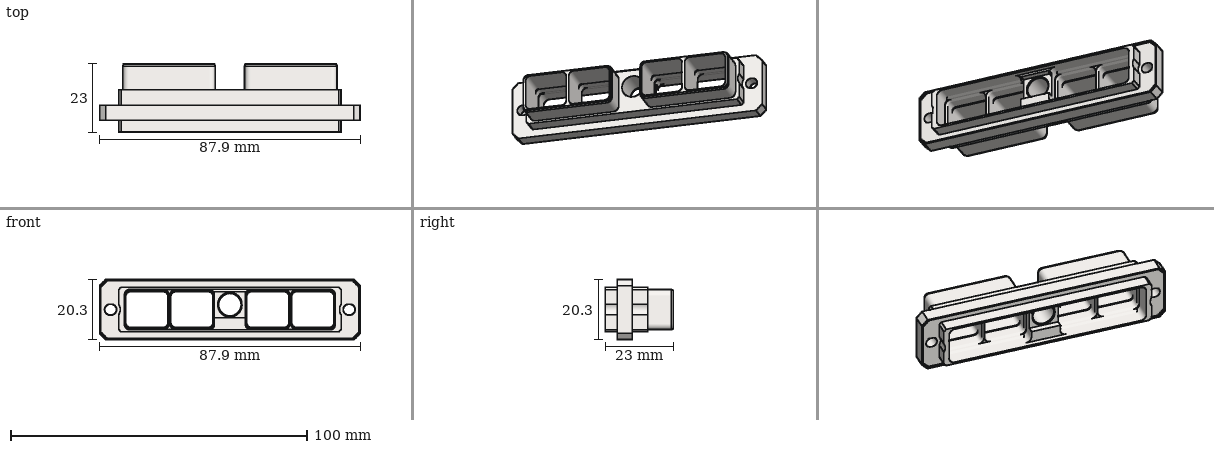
import cadquery as cq

FLANGE_LENGTH = 87.93
FLANGE_HEIGHT = 20.33
FLANGE_FRONT = 4.0
FLANGE_THICKNESS = 5.15
FLANGE_CORNER = 2.1
RIM_WIDTH = 0.45
RIM_DEPTH = 0.5

MOUNT_X = 40.25
MOUNT_LENGTH = 3.95
MOUNT_HEIGHT = 3.6
RELIEF_RADIUS = 3.25

SOCKET_LENGTH = 75.0
SOCKET_HEIGHT = 15.1
SOCKET_DEPTH = 14.4
SOCKET_CORNER = 0.8

TOTAL_DEPTH = 23.03
BLOCK_LENGTH = 31.3
BLOCK_HEIGHT = 13.6
BLOCK_CENTER = 20.55
BLOCK_RADIUS = 2.0
BLOCK_EDGE_DEPTH = 0.8
BLOCK_EDGE_INSET = 0.3

CAVITY_HEIGHT = 13.7
CAVITY_RADIUS = 2.0
CAVITY_DEPTH = 1.75
POCKET_INNER = 5.2
POCKET_OUTER = 35.6
POCKET_SLOPE_START = 4.7
POCKET_SLOPE_END = 5.9
POCKET_SLOPE_RISE = 0.22

WINDOW_MOUTH = 6.6
WINDOW_FLARE_END = 7.8
WINDOW_STEP = 11.4
WINDOW_LENGTH = 14.2
WINDOW_HEIGHT = 12.0
WINDOW_STEP_HEIGHT = 0.38
WINDOW_RADIUS = 1.5
DIVIDER = 1.0
WINDOW_FLARE = 0.4

CENTER_WALL_FRONT = 3.9
RECESS_BOTTOM = -2.7
RECESS_TOP = 6.0
HOLE_Z = 1.65
HOLE_DIAMETER = 7.6
HOLE_CHAMFER = 0.3

POCKET_CENTER = (POCKET_INNER + POCKET_OUTER) / 2
POCKET_LENGTH = POCKET_OUTER - POCKET_INNER
POCKET_REAR_HEIGHT = CAVITY_HEIGHT - 2 * POCKET_SLOPE_RISE
WINDOW_PITCH = WINDOW_LENGTH + DIVIDER


def section(y):
    """Sketch plane at depth y whose normal points to the rear; local x = -X, local y = Z."""
    return cq.Workplane(cq.Plane(origin=(0, y, 0), xDir=(-1, 0, 0), normal=(0, 1, 0)))


def block(length, height, y_front, y_rear, x=0):
    """Plain box centred on Z = 0."""
    return section(y_front).center(-x, 0).rect(length, height).extrude(y_rear - y_front)


def rounded_block(length, height, radius, y_front, y_rear, x=0):
    """Box with its four edges along Y rounded."""
    return block(length, height, y_front, y_rear, x).edges("|Y").fillet(radius)


def chamfered_block(length, height, corner, y_front, y_rear):
    """Box with its four edges along Y chamfered."""
    return block(length, height, y_front, y_rear).edges("|Y").chamfer(corner)


def make_flange():
    """Flange plate with a shallow rimmed recess in its front and two mounting holes."""
    rear = FLANGE_FRONT + FLANGE_THICKNESS
    flange = chamfered_block(FLANGE_LENGTH, FLANGE_HEIGHT, FLANGE_CORNER, FLANGE_FRONT, rear)
    recess = chamfered_block(
        FLANGE_LENGTH - 2 * RIM_WIDTH,
        FLANGE_HEIGHT - 2 * RIM_WIDTH,
        FLANGE_CORNER,
        FLANGE_FRONT,
        FLANGE_FRONT + RIM_DEPTH,
    )
    holes = (
        section(FLANGE_FRONT)
        .pushPoints([(-MOUNT_X, 0), (MOUNT_X, 0)])
        .slot2D(MOUNT_LENGTH, MOUNT_HEIGHT)
        .extrude(FLANGE_THICKNESS)
    )
    return flange.cut(recess).cut(holes)


def make_socket():
    """Outer socket body with a shallow relief at each end, concentric with the mounting hole."""
    socket = chamfered_block(SOCKET_LENGTH, SOCKET_HEIGHT, SOCKET_CORNER, 0, SOCKET_DEPTH)
    reliefs = (
        section(0)
        .pushPoints([(-MOUNT_X, 0), (MOUNT_X, 0)])
        .circle(RELIEF_RADIUS)
        .extrude(SOCKET_DEPTH)
    )
    return socket.cut(reliefs)


def loft_rounded(front, rear, y_front, y_rear, x):
    """Ruled loft between two rounded rectangles given as (length, height, radius)."""
    outlines = []
    for (length, height, radius), y in ((front, y_front), (rear, y_rear)):
        outline = cq.Sketch().rect(length, height).vertices().fillet(radius)
        outlines.append(outline.moved(cq.Location(cq.Vector(0, 0, y - y_front))))
    return section(y_front).center(-x, 0).placeSketch(*outlines).loft(ruled=True)


def make_rear_block(x):
    """Rounded block behind the socket, with a steep bevel round its rear edge."""
    straight_end = TOTAL_DEPTH - BLOCK_EDGE_DEPTH
    straight = rounded_block(BLOCK_LENGTH, BLOCK_HEIGHT, BLOCK_RADIUS, SOCKET_DEPTH, straight_end, x)
    bevel = loft_rounded(
        (BLOCK_LENGTH, BLOCK_HEIGHT, BLOCK_RADIUS),
        (
            BLOCK_LENGTH - 2 * BLOCK_EDGE_INSET,
            BLOCK_HEIGHT - 2 * BLOCK_EDGE_INSET,
            BLOCK_RADIUS - BLOCK_EDGE_INSET,
        ),
        straight_end,
        TOTAL_DEPTH,
        x,
    )
    return straight.union(bevel)


def make_pocket(x):
    """Pocket behind the cavity; its floor and ceiling slope inward part-way down."""
    pocket = rounded_block(POCKET_LENGTH, CAVITY_HEIGHT, CAVITY_RADIUS, 0, WINDOW_MOUTH, x)
    half_front = CAVITY_HEIGHT / 2
    half_rear = POCKET_REAR_HEIGHT / 2
    profile = [
        (0, half_front),
        (POCKET_SLOPE_START, half_front),
        (POCKET_SLOPE_END, half_rear),
        (WINDOW_MOUTH, half_rear),
        (WINDOW_MOUTH, -half_rear),
        (POCKET_SLOPE_END, -half_rear),
        (POCKET_SLOPE_START, -half_front),
        (0, -half_front),
    ]
    envelope = (
        cq.Workplane("YZ", origin=(x, 0, 0))
        .polyline(profile)
        .close()
        .extrude(POCKET_LENGTH / 2, both=True)
    )
    return pocket.intersect(envelope)


def make_window(x):
    """Window through the rear block: flared mouth, front bore and lower rear bore."""
    bore_height = WINDOW_HEIGHT + 2 * WINDOW_STEP_HEIGHT
    flare = loft_rounded(
        (WINDOW_LENGTH + 2 * WINDOW_FLARE, POCKET_REAR_HEIGHT, CAVITY_RADIUS),
        (WINDOW_LENGTH, bore_height, WINDOW_RADIUS),
        WINDOW_MOUTH,
        WINDOW_FLARE_END,
        x,
    )
    front_bore = rounded_block(
        WINDOW_LENGTH, bore_height, WINDOW_RADIUS, WINDOW_FLARE_END, WINDOW_STEP, x
    )
    rear_bore = rounded_block(
        WINDOW_LENGTH, WINDOW_HEIGHT, WINDOW_RADIUS, WINDOW_STEP, TOTAL_DEPTH, x
    )
    return flare.union(front_bore).union(rear_bore)


def make_center_recess():
    """Recess in the front of the centre block, leaving a tall ledge below and a thin one above."""
    return (
        section(CAVITY_DEPTH)
        .center(0, (RECESS_TOP + RECESS_BOTTOM) / 2)
        .rect(2 * POCKET_INNER, RECESS_TOP - RECESS_BOTTOM)
        .extrude(CENTER_WALL_FRONT - CAVITY_DEPTH)
    )


def make_center_hole():
    """Round hole through the centre wall with a chamfered front edge."""
    plane = section(CENTER_WALL_FRONT).center(0, HOLE_Z)
    hole = plane.circle(HOLE_DIAMETER / 2).extrude(SOCKET_DEPTH - CENTER_WALL_FRONT)
    cone = cq.Solid.makeCone(
        HOLE_DIAMETER / 2 + HOLE_CHAMFER,
        HOLE_DIAMETER / 2,
        HOLE_CHAMFER,
        pnt=cq.Vector(0, CENTER_WALL_FRONT, HOLE_Z),
        dir=cq.Vector(0, 1, 0),
    )
    return hole.union(cq.Workplane(cone))


def make_shell():
    """Join the outer bodies, then cut the cavity, pockets, windows and centre features."""
    shell = make_flange().union(make_socket())
    for side in (-1, 1):
        shell = shell.union(make_rear_block(side * BLOCK_CENTER))
    shell = shell.cut(rounded_block(2 * POCKET_OUTER, CAVITY_HEIGHT, CAVITY_RADIUS, 0, CAVITY_DEPTH))
    for side in (-1, 1):
        shell = shell.cut(make_pocket(side * POCKET_CENTER))
        for offset in (-WINDOW_PITCH / 2, WINDOW_PITCH / 2):
            shell = shell.cut(make_window(side * POCKET_CENTER + offset))
    return shell.cut(make_center_recess()).cut(make_center_hole())


result = make_shell()